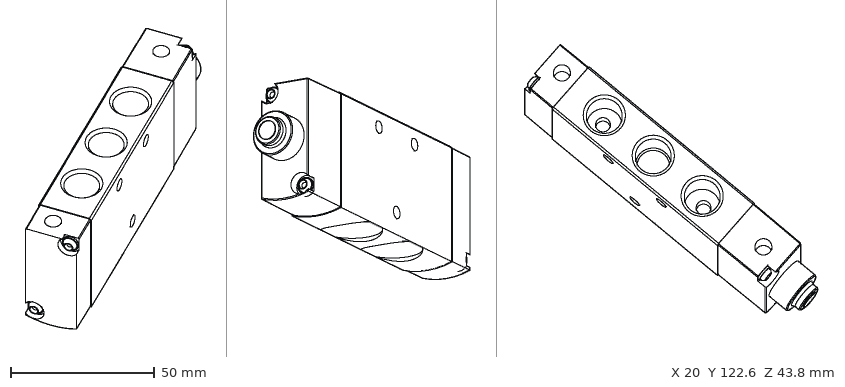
import cadquery as cq
import math

TOTAL_LENGTH = 122.6
FRONT_CAP_LENGTH = 12.9
HOUSING_LENGTH = 75.8
REAR_CAP_LENGTH = 22.0
HOUSING_START = FRONT_CAP_LENGTH
HOUSING_END = HOUSING_START + HOUSING_LENGTH
HOUSING_MIDDLE = HOUSING_START + HOUSING_LENGTH / 2
REAR_CAP_END = HOUSING_END + REAR_CAP_LENGTH

WIDTH = 20.0
HEIGHT = 43.8
BOTTOM_BOW = 1.6
HOUSING_EDGE = 0.7
CAP_INSET = 0.31
CAP_DRAFT_DEGREES = 0.4
CAP_EDGE = 0.4
REAR_EDGE = 0.4

PORT_PITCH = 22.4
PORT_DIAMETER = 12.5
PORT_MOUTH_DIAMETER = 14.7
PORT_DEPTH = 14.7
MIDDLE_PORT_FLOOR_DIAMETER = 11.4
PORT_CONE_HEIGHT = 1.2
PASSAGE_DIAMETER = 5.1
PASSAGE_DEPTH = 4.9
PASSAGE_PITCH = 23.0

BOTTOM_FLAT_DIAMETER = 21.3
BOTTOM_FLAT_PITCH = 27.5
BOTTOM_FLAT_DEPTH = 1.5

MOUNT_HOLE_DIAMETER = 4.4
MOUNT_HOLE_PITCH = 24.3
UPPER_MOUNT_Z = HEIGHT - 6.1
LOWER_MOUNT_Z = HEIGHT - 34.1

PILOT_DIAMETER = 5.9
PILOT_DEPTH = 9.8
FRONT_PILOT = (-2.1, 7.1)
REAR_PILOT = (0.0, 101.3)

SCREW_X = 6.5
UPPER_SCREW_Z = HEIGHT - 3.5
LOWER_SCREW_Z = HEIGHT - 38.5
RECESS_DIAMETER = 7.7
FRONT_RECESS_DEPTH = 2.5
REAR_RECESS_DEPTH = 3.9
RIM_DIAMETER = 5.9
RIM_HEIGHT = 0.7
DOME_DIAMETER = 5.1
DOME_RADIUS = 2.7
HEAD_HEIGHT = 2.3
HEAD_TOP_DIAMETER = 3.4
SOCKET_DIAMETER = 3.0
SOCKET_FLOOR_DIAMETER = 2.1
SOCKET_DEPTH = 1.2

CONNECTOR_Z = 22.5
COLLAR_DIAMETER = 15.9
COLLAR_LENGTH = 8.2
COLLAR_CHAMFER = 0.4
PLUG_DIAMETER = 10.0
PLUG_ROOT_DIAMETER = 11.0
PLUG_ROOT_LENGTH = 1.2
TIP_DIAMETER = 6.7
TIP_LENGTH = 0.4
PLUG_CHAMFER = 0.4


def bar(inset, start, end, edge, draft=0):
    """Bar from start to end along Y with the common cross-section, shrunk by inset.

    Draft narrows it towards its end; its two long top edges are chamfered.
    """
    half = WIDTH / 2 - inset
    top = HEIGHT - inset
    direction = cq.Vector(0, math.copysign(1, end - start), 0)
    profile_plane = cq.Plane(origin=(0, start, 0), xDir=(1, 0, 0), normal=direction)
    upward = profile_plane.yDir.z
    outline = (
        cq.Workplane(profile_plane)
        .moveTo(-half, upward * (BOTTOM_BOW + inset))
        .threePointArc((0, upward * inset), (half, upward * (BOTTOM_BOW + inset)))
        .lineTo(half, upward * top)
        .lineTo(-half, upward * top)
        .close()
    )
    solid = outline.extrude(abs(end - start), taper=draft)
    return solid.faces(">Z").edges("not |X").chamfer(edge)


def cylinder_up(diameter, x, y, z, height):
    return cq.Workplane("XY", origin=(x, y, z)).circle(diameter / 2).extrude(height)


def port(y, floor_diameter):
    """Port with a conical mouth, to be cut from the housing; a smaller floor gives a conical bottom end."""
    radius = PORT_DIAMETER / 2
    mouth = PORT_MOUTH_DIAMETER / 2
    floor_z = HEIGHT - PORT_DEPTH
    return (
        cq.Workplane("XZ")
        .moveTo(0, HEIGHT)
        .lineTo(mouth, HEIGHT)
        .lineTo(radius, HEIGHT - (mouth - radius))
        .lineTo(radius, floor_z + PORT_CONE_HEIGHT)
        .lineTo(floor_diameter / 2, floor_z)
        .lineTo(0, floor_z)
        .close()
        .revolve(360, (0, 0, 0), (0, 1, 0))
        .translate((0, y, 0))
    )


def make_housing():
    housing = bar(0, HOUSING_START, HOUSING_END, HOUSING_EDGE)
    housing = housing.cut(port(HOUSING_MIDDLE, MIDDLE_PORT_FLOOR_DIAMETER))
    for side in (-1, 1):
        housing = housing.cut(port(HOUSING_MIDDLE + side * PORT_PITCH, PORT_DIAMETER))
        passage_y = HOUSING_MIDDLE + side * PASSAGE_PITCH
        passage_floor = HEIGHT - PORT_DEPTH - PASSAGE_DEPTH
        housing = housing.cut(cylinder_up(PASSAGE_DIAMETER, 0, passage_y, passage_floor, PASSAGE_DEPTH))
        flat_y = HOUSING_MIDDLE + side * BOTTOM_FLAT_PITCH / 2
        housing = housing.cut(cylinder_up(BOTTOM_FLAT_DIAMETER, 0, flat_y, 0, BOTTOM_FLAT_DEPTH))
    mount_holes = (
        cq.Workplane("YZ", origin=(-WIDTH / 2, HOUSING_MIDDLE, 0))
        .pushPoints([
            (-MOUNT_HOLE_PITCH / 2, UPPER_MOUNT_Z),
            (MOUNT_HOLE_PITCH / 2, UPPER_MOUNT_Z),
            (0, LOWER_MOUNT_Z),
        ])
        .circle(MOUNT_HOLE_DIAMETER / 2)
        .extrude(WIDTH)
    )
    return housing.cut(mount_holes)


def screw_head(x, y, z, outward):
    """Domed screw head standing on a recess floor; outward is +1 or -1 along Y."""
    return (
        cq.Workplane("XY")
        .moveTo(0, 0)
        .lineTo(RIM_DIAMETER / 2, 0)
        .lineTo(RIM_DIAMETER / 2, outward * RIM_HEIGHT)
        .lineTo(DOME_DIAMETER / 2, outward * RIM_HEIGHT)
        .radiusArc((HEAD_TOP_DIAMETER / 2, outward * HEAD_HEIGHT), -outward * DOME_RADIUS)
        .lineTo(SOCKET_DIAMETER / 2, outward * HEAD_HEIGHT)
        .lineTo(SOCKET_FLOOR_DIAMETER / 2, outward * (HEAD_HEIGHT - SOCKET_DEPTH))
        .lineTo(0, outward * (HEAD_HEIGHT - SOCKET_DEPTH))
        .close()
        .revolve(360, (0, 0, 0), (0, 1, 0))
        .translate((x, y, z))
    )


def add_screws(cap, end_y, outward, recess_depth):
    """Sink two screw heads into the end of a cap; the upper recess takes the whole corner away."""
    floor_y = end_y - outward * recess_depth
    corner = (
        cq.Workplane("XZ", origin=(SCREW_X, floor_y, UPPER_SCREW_Z))
        .rect(RECESS_DIAMETER, RECESS_DIAMETER, centered=False)
        .extrude(-outward * recess_depth)
    )
    cap = cap.cut(corner)
    for x, z in ((SCREW_X, UPPER_SCREW_Z), (-SCREW_X, LOWER_SCREW_Z)):
        recess = (
            cq.Workplane("XZ", origin=(x, floor_y, z))
            .circle(RECESS_DIAMETER / 2)
            .extrude(-outward * recess_depth)
        )
        cap = cap.cut(recess).union(screw_head(x, floor_y, z, outward))
    return cap


def pilot_hole(place):
    return cylinder_up(PILOT_DIAMETER, *place, HEIGHT - PILOT_DEPTH, PILOT_DEPTH)


def make_front_cap():
    cap = bar(CAP_INSET, HOUSING_START, 0, CAP_EDGE, CAP_DRAFT_DEGREES)
    cap = cap.cut(pilot_hole(FRONT_PILOT))
    return add_screws(cap, 0, -1, FRONT_RECESS_DEPTH)


def make_rear_cap():
    cap = bar(CAP_INSET, HOUSING_END, REAR_CAP_END, CAP_EDGE, CAP_DRAFT_DEGREES)
    cap = cap.faces(">Y").chamfer(REAR_EDGE)
    cap = cap.cut(pilot_hole(REAR_PILOT))
    return add_screws(cap, REAR_CAP_END, 1, REAR_RECESS_DEPTH)


def make_connector():
    collar_end = REAR_CAP_END + COLLAR_LENGTH
    plug_end = TOTAL_LENGTH - TIP_LENGTH
    return (
        cq.Workplane("XY")
        .moveTo(0, REAR_CAP_END)
        .lineTo(COLLAR_DIAMETER / 2, REAR_CAP_END)
        .lineTo(COLLAR_DIAMETER / 2, collar_end - COLLAR_CHAMFER)
        .lineTo(COLLAR_DIAMETER / 2 - COLLAR_CHAMFER, collar_end)
        .lineTo(PLUG_ROOT_DIAMETER / 2, collar_end)
        .lineTo(PLUG_DIAMETER / 2, collar_end + PLUG_ROOT_LENGTH)
        .lineTo(PLUG_DIAMETER / 2, plug_end - PLUG_CHAMFER)
        .lineTo(PLUG_DIAMETER / 2 - PLUG_CHAMFER, plug_end)
        .lineTo(TIP_DIAMETER / 2, plug_end)
        .lineTo(TIP_DIAMETER / 2, TOTAL_LENGTH)
        .lineTo(0, TOTAL_LENGTH)
        .close()
        .revolve(360, (0, 0, 0), (0, 1, 0))
        .translate((0, 0, CONNECTOR_Z))
    )


housing = make_housing()
front_cap = make_front_cap()
rear_cap = make_rear_cap()
connector = make_connector()

result = cq.Compound.makeCompound([housing.val(), front_cap.val(), rear_cap.val(), connector.val()])